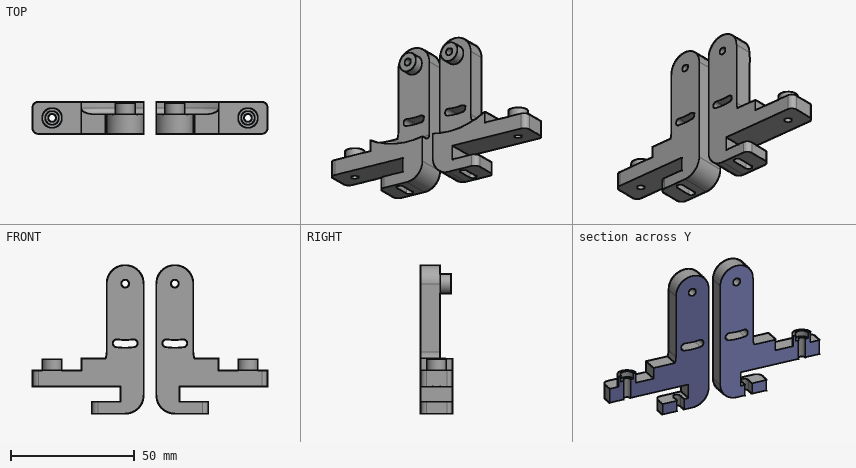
import cadquery as cq
import math

total_length = 95.0
depth = 13.0
height = 60.0
gap = 5.0
inner_x = -gap / 2
outer_x = -total_length / 2

column_width = 15.0
column_depth = 8.0
column_radius = column_width / 2
column_x = inner_x - column_radius
column_outer_x = inner_x - column_width
pivot_z = height - column_radius

arm_bottom_z = 10.9
arm_top_z = 17.5
step_length = 25.2
step_top_z = 22.3
hook_length = 21.1
hook_top_z = 4.9
notch_wall = 9.4
corner_radius = 2.5

hole_diameter = 3.0
boss_diameter = 8.0
arm_boss_top_z = 22.0
arm_boss_x = outer_x + 8.0
counterbore_diameter = 5.5
counterbore_depth = 2.5
pivot_boss_length = 4.5

sweep_radius = pivot_z - arm_top_z
sweep_fillet = 2.6
arc_slot_radius = 24.3
arc_slot_width = 3.0
arc_slot_half_angle = 8.1
hook_slot_x = inner_x - 12.8
hook_slot_width = 3.0
hook_slot_length = 9.7


def prism(outline):
    """Extrude an outline drawn in X and Z through the full depth."""
    return outline.close().extrude(-depth)


def make_blank():
    """Column, arm and hook in one outline, with the step block added."""
    side = cq.Workplane("XZ")
    blank = prism(
        side.moveTo(inner_x, column_radius)
        .lineTo(inner_x, pivot_z)
        .threePointArc((column_x, height), (column_outer_x, pivot_z))
        .lineTo(column_outer_x, arm_top_z + column_radius)
        .radiusArc((column_outer_x - column_radius, arm_top_z), column_radius)
        .lineTo(outer_x, arm_top_z)
        .lineTo(outer_x, arm_bottom_z)
        .lineTo(inner_x - notch_wall, arm_bottom_z)
        .lineTo(inner_x - notch_wall, hook_top_z)
        .lineTo(inner_x - hook_length, hook_top_z)
        .lineTo(inner_x - hook_length, 0)
        .lineTo(column_x, 0)
        .radiusArc((inner_x, column_radius), -column_radius)
    )
    blank = blank.edges("|Z").edges("<X").fillet(corner_radius)
    hook_end_x = inner_x - hook_length
    hook_end = cq.selectors.BoxSelector(
        (hook_end_x - corner_radius, -corner_radius, 0),
        (hook_end_x + corner_radius, depth + corner_radius, hook_top_z),
    )
    blank = blank.edges("|Z").edges(hook_end).fillet(corner_radius)

    step_height = step_top_z - arm_bottom_z
    step = cq.Workplane("XY", origin=(inner_x - step_length, 0, arm_bottom_z))
    step = step.box(step_length, depth, step_height, centered=False)
    return blank.union(step)


def make_sweep_recess():
    """Disc about the pivot, behind the column, with a rounded front rim."""
    disc = cq.Workplane("XZ", origin=(column_x, column_depth, pivot_z)).circle(sweep_radius)
    return disc.extrude(column_depth - depth).faces("<Y").edges().fillet(sweep_fillet)


def make_arc_slot():
    """Slot curved about the pivot, through the column."""
    half_angle = math.radians(arc_slot_half_angle)
    end_dx = arc_slot_radius * math.sin(half_angle)
    end_z = pivot_z - arc_slot_radius * math.cos(half_angle)
    ring = (
        cq.Workplane("XZ", origin=(column_x, 0, pivot_z))
        .circle(arc_slot_radius + arc_slot_width / 2)
        .circle(arc_slot_radius - arc_slot_width / 2)
        .extrude(-column_depth)
    )
    sector = prism(
        cq.Workplane("XZ")
        .moveTo(column_x, pivot_z)
        .lineTo(column_x - 2 * end_dx, 2 * end_z - pivot_z)
        .lineTo(column_x + 2 * end_dx, 2 * end_z - pivot_z)
    )
    ends = (
        cq.Workplane("XZ")
        .pushPoints([(column_x - end_dx, end_z), (column_x + end_dx, end_z)])
        .circle(arc_slot_width / 2)
        .extrude(-column_depth)
    )
    return ring.intersect(sector).union(ends)


def make_left_bracket():
    """Left bracket with its recess, slots, bosses and holes."""
    bracket = make_blank().cut(make_sweep_recess()).cut(make_arc_slot())

    pivot = cq.Workplane("XZ", origin=(column_x, 0, pivot_z))
    pivot_length = column_depth + pivot_boss_length
    pivot_boss = pivot.workplane(offset=-column_depth).circle(boss_diameter / 2).extrude(-pivot_boss_length)
    bracket = bracket.union(pivot_boss)
    bracket = bracket.cut(pivot.circle(hole_diameter / 2).extrude(-pivot_length))

    arm_boss = cq.Workplane("XY", origin=(arm_boss_x, depth / 2, arm_top_z))
    bracket = bracket.union(arm_boss.circle(boss_diameter / 2).extrude(arm_boss_top_z - arm_top_z))
    boss_top = cq.Workplane("XY", origin=(arm_boss_x, depth / 2, arm_boss_top_z))
    bracket = bracket.cut(boss_top.circle(hole_diameter / 2).extrude(arm_bottom_z - arm_boss_top_z))
    bracket = bracket.cut(boss_top.circle(counterbore_diameter / 2).extrude(-counterbore_depth))

    hook_slot = (
        cq.Workplane("XY", origin=(hook_slot_x, depth / 2, 0))
        .slot2D(hook_slot_length, hook_slot_width, 90)
        .extrude(hook_top_z)
    )
    return bracket.cut(hook_slot)


left_bracket = make_left_bracket()
right_bracket = left_bracket.mirror("YZ")

result = cq.Compound.makeCompound([left_bracket.val(), right_bracket.val()])